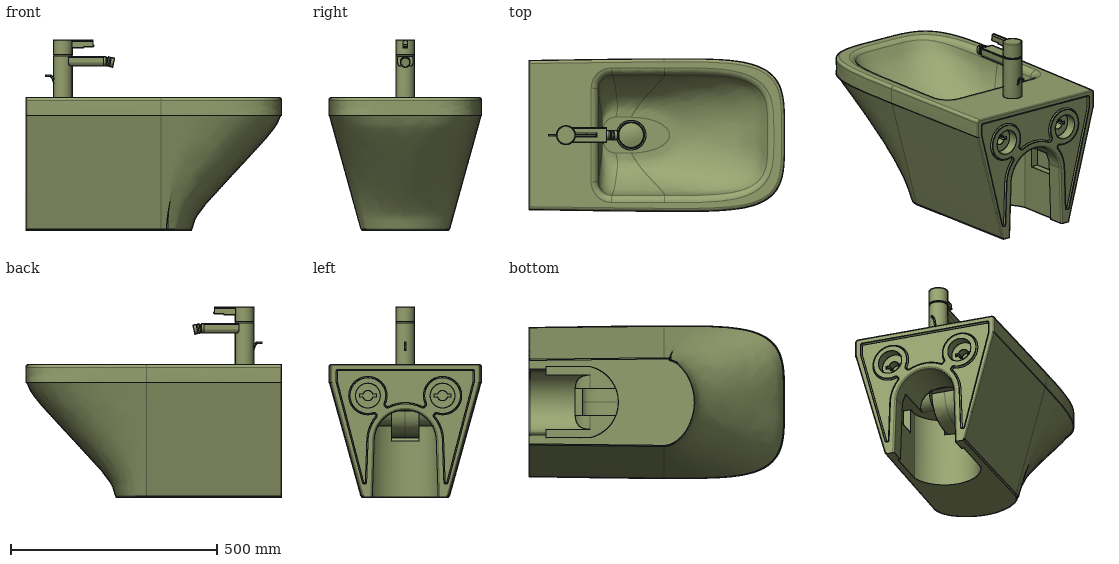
import cadquery as cq
import math

LENGTH = 620
HALF_WIDTH = 185.1
BACK_HALF_WIDTH = 181.0
WIDEST_X = 327.5
DECK_Z = 322.5
BAND_BOTTOM_Z = 278.5
BAND_STEP = 1.0
FOOT_HALF_WIDTH = 106.5
OUTER_SQUARENESS = 4.2
NOSE_STEPS = 16
RIM_ROUND = 7.5
BACK_ROUND = 2.5
TRIM = 31
FOOT_INSET = 2.0
SKIRT_NOSE = [
    (4.0, 403, 1.9),
    (60.0, 433.0, 2),
    (145.0, 511.0, 2.4),
    (204.5, 565.5, 2.9),
    (257.0, 608, 3.6),
    (BAND_BOTTOM_Z, LENGTH - 2 * BAND_STEP, OUTER_SQUARENESS),
]

BOWL_SECTIONS = [
    (191.0, 180, 248, 341, 43.5, 2, 31),
    (199.5, 177.5, 273, 403, 80.5, 2, 37),
    (227.5, 173.5, 297.5, 482.0, 108.5, 2.3, 37),
    (246.0, 172.0, 310, 516.5, 121.5, 2.6, 37),
    (288.0, 169.0, WIDEST_X, 561.0, 141.5, 3.6, 34.0),
    (DECK_Z, 167.5, WIDEST_X, 584.0, 147.5, 4.2, 34.0),
]
BOWL_LIP_ROUND = 17.5
LIP_MARGIN = 25
LEVEL_TOLERANCE = 0.5

ARCH_FOOT_HALF = 80.0
ARCH_SPRING_HALF = 75.0
ARCH_SPRING_Z = 144.0
ARCH_CROWN_Z = 212.0
ARCH_MOUTH_ROUND = 4.0
ARCH_DEPTH = 111.5
BULGE_RADIUS = 37
FLANGE_THICKNESS = 41.5
CHAMBER_WIDENING = 11.0
CHAMBER_ROOF_Z = 173.5
CHAMBER_STRAIGHT_X = 149
CHAMBER_END_X = 217
SHELF_Z = 111.5
SHELF_HALF_WIDTH = 105.5
SHELF_END_X = 124
NICHE_HALF_WIDTH = 33.0
NICHE_FLOOR_Z = 136.5
NICHE_END_X = 285
NICHE_ROUND = 6
NICHE_TOP_Z = 209.5
NICHE_BACK_X = 130
SUMP_BOTTOM_Z = 146.0

PANEL_DEPTH = 5.0
PANEL_DRAFT = 3.0
PANEL_TOP_Z = 310.5
PANEL_HALF_WIDTH = 167.5
PANEL_SHOULDER_Z = 279.5
PANEL_FOOT_Z = 32.0
PANEL_FOOT_HALF = 103.0
PANEL_CORNER = 5.0
ARCH_LAND = 15.0
BRIDGE_WIDTH = 28.0
BRIDGE_PLACE = 0.65

FIXING_Y = 90.5
FIXING_Z = 247.0
FIXING_BOSS_DIAMETER = 87
FIXING_BORE_DIAMETER = 60.0
FIXING_BORE_DEPTH = 26.0
KEYHOLE_DIAMETER = 25
KEYHOLE_DEPTH = 49.5
KEY_SPAN = 41.0
KEY_HEIGHT = 7.0

DRAIN_X = 248
DRAIN_RING_DIAMETER = 72.0
DRAIN_RING_BOTTOM_Z = 185.0
DRAIN_RING_TOP_Z = 193.0
DRAIN_MOUTH_DIAMETER = 64.5
DRAIN_SEAT_Z = 188.0
DRAIN_THROAT_DIAMETER = 42.0
PLUG_DIAMETER = 60.0
PLUG_EDGE_HEIGHT = 4.5
PLUG_DOME_HEIGHT = 5.5

TAP_X = 90.0
TAP_TOP_Z = 462.0
TAP_DIAMETER = 46.0
TAP_NECK_DIAMETER = 44.0
TAP_NECK_BOTTOM_Z = 423.0
TAP_NECK_HEIGHT = 3.0
HEAD_ROUND = 2.0
LEVER_DROP = 0.5
LEVER_WIDTH = 10.0
LEVER_END_X = 163.0
LEVER_ROOT_HEIGHT = 19.0
LEVER_STEP_X = 140.0
LEVER_THIN_HEIGHT = 17.0
LEVER_TIP_RISE = 2.5
LEVER_TIP_REACH = 2.5
LEVER_EDGE = 3.0
SPOUT_HALF_WIDTH = 18.3
SPOUT_TOP_Z = 421.5
SPOUT_BOTTOM_Z = 398.0
SPOUT_END_X = 188.5
SPOUT_LOWER_ROUND = 7.5
SPOUT_UPPER_CHAMFER = 2.0
SPOUT_AXIS_Z = (SPOUT_TOP_Z + SPOUT_BOTTOM_Z) / 2

COLLAR_DIAMETER = 23.0
COLLAR_LENGTH = 5.5
JOINT_DIAMETER = 20.0
JOINT_LENGTH = 4.0
NOZZLE_X = SPOUT_END_X + COLLAR_LENGTH + JOINT_LENGTH
NOZZLE_TILT = 12
NOZZLE_LENGTH = 15.5
NOZZLE_DIAMETER = 23.0
NOZZLE_GROOVE_DIAMETER = 21.0
NOZZLE_GROOVE_OFFSET = 4.5
NOZZLE_GROOVE_WIDTH = 3.0

ROD_DIAMETER = 4.0
ROD_TIP_X = 48.0
ROD_Z = 375.0
ROD_BEND_START_X = 56
ROD_END_X = 70.0
ROD_END_Z = 357.0
ROD_END_DIRECTION = (1, -1.6)


def plan_outline(z, back, middle, front, half_back, half_middle, squareness, corner=0):
    """Closed level wire: straight back, slightly bowed sides and a superellipse front end."""
    nose = []
    for i in range(NOSE_STEPS + 1):
        angle = math.pi / 2 - math.pi * i / NOSE_STEPS
        along = abs(math.cos(angle)) ** (2 / squareness)
        across = math.copysign(abs(math.sin(angle)) ** (2 / squareness), math.sin(angle))
        nose.append(cq.Vector(middle + (front - middle) * along, half_middle * across, z))
    nose[0] = cq.Vector(middle, half_middle, z)
    nose[-1] = cq.Vector(middle, -half_middle, z)

    forward = cq.Vector(1, 0, 0)
    edges = [cq.Edge.makeSpline(nose, tangents=[forward, -forward])]
    side_start = back + corner
    right_start = cq.Vector(side_start, -half_back, z)
    left_start = cq.Vector(side_start, half_back, z)
    slope = cq.Vector(middle - side_start, half_middle - half_back, 0).normalized()
    mirrored_slope = cq.Vector(-slope.x, slope.y, 0)
    edges.append(cq.Edge.makeSpline([nose[-1], right_start], tangents=[-forward, mirrored_slope]))
    back_half = half_back - corner
    back_right = cq.Vector(back, -back_half, z)
    back_left = cq.Vector(back, back_half, z)
    reach = corner * (1 - math.sqrt(0.5))
    if corner:
        right_mid = cq.Vector(back + reach, reach - half_back, z)
        edges.append(cq.Edge.makeThreePointArc(right_start, right_mid, back_right))
    edges.append(cq.Edge.makeLine(back_right, back_left))
    if corner:
        left_mid = cq.Vector(back + reach, half_back - reach, z)
        edges.append(cq.Edge.makeThreePointArc(back_left, left_mid, left_start))
    edges.append(cq.Edge.makeSpline([left_start, nose[0]], tangents=[slope, forward]))
    return cq.Wire.assembleEdges(edges)


def box_between(x0, x1, y0, y1, z0, z1):
    """Axis-aligned box from its limits."""
    return cq.Workplane("XY").box(x1 - x0, y1 - y0, z1 - z0, centered=False).translate((x0, y0, z0))


def cylinder_along_x(diameter, x0, x1, y, z):
    """Round bar parallel to X."""
    return cq.Workplane("YZ", origin=(x0, y, z)).circle(diameter / 2).extrude(x1 - x0)


def upright_cylinder(diameter, x, z0, z1):
    """Round bar parallel to Z on the middle plane."""
    return cq.Workplane("XY", origin=(x, 0, z0)).circle(diameter / 2).extrude(z1 - z0)


def arch(x0, x1, border=0):
    """Arched passage parallel to X, grown on every side by a border."""
    foot = ARCH_FOOT_HALF + border
    spring = ARCH_SPRING_HALF + border
    return (
        cq.Workplane("YZ", origin=(x0, 0, 0))
        .moveTo(-foot, 0)
        .lineTo(-spring, ARCH_SPRING_Z)
        .threePointArc((0, ARCH_CROWN_Z + border), (spring, ARCH_SPRING_Z))
        .lineTo(foot, 0)
        .close()
        .extrude(x1 - x0)
    )


def outer_shape():
    """Tapered skirt with a bevelled foot, under an upright rim band."""
    flare = (HALF_WIDTH - BAND_STEP - FOOT_HALF_WIDTH) / BAND_BOTTOM_Z

    def skirt_section(z, front, squareness, inset=0):
        half = FOOT_HALF_WIDTH + flare * z - inset
        back_half = half - (HALF_WIDTH - BACK_HALF_WIDTH)
        return plan_outline(z, -TRIM, WIDEST_X, front - inset, back_half, half, squareness)

    skirt = cq.Workplane(cq.Solid.makeLoft([skirt_section(*row) for row in SKIRT_NOSE]))
    foot_z, foot_front, foot_squareness = SKIRT_NOSE[0]
    foot_sections = [
        skirt_section(0, foot_front, foot_squareness, FOOT_INSET),
        skirt_section(foot_z, foot_front, foot_squareness),
    ]
    foot = cq.Workplane(cq.Solid.makeLoft(foot_sections, True))
    behind_back = box_between(-2 * TRIM, 0, -LENGTH, LENGTH, -TRIM, LENGTH)
    skirt = skirt.cut(behind_back)
    foot = foot.cut(behind_back)
    skirt = skirt.faces("<X").edges("not #Z").fillet(BACK_ROUND)

    band_outline = plan_outline(
        BAND_BOTTOM_Z, 0, WIDEST_X, LENGTH, BACK_HALF_WIDTH, HALF_WIDTH, OUTER_SQUARENESS
    )
    up = cq.Vector(0, 0, DECK_Z - BAND_BOTTOM_Z)
    band = cq.Workplane(cq.Solid.extrudeLinear(band_outline, [], up))
    band = band.faces(">Z").edges("not(<X)").fillet(RIM_ROUND)
    band = band.faces("<X").edges("not <Z").fillet(BACK_ROUND)
    return skirt.union(foot).union(band)


def bowl():
    """Basin hollow, open at the deck."""
    sections = [
        plan_outline(z, back, middle, front, half, half, squareness, corner)
        for z, back, middle, front, half, squareness, corner in BOWL_SECTIONS
    ]
    return cq.Workplane(cq.Solid.makeLoft(sections))


def underside():
    """Arched passage from the back, with the chamber and drain niche behind it."""
    chamber_half = ARCH_SPRING_HALF + CHAMBER_WIDENING
    chamber = (
        cq.Workplane("XY")
        .moveTo(FLANGE_THICKNESS, -chamber_half)
        .lineTo(CHAMBER_STRAIGHT_X, -chamber_half)
        .threePointArc((CHAMBER_END_X, 0), (CHAMBER_STRAIGHT_X, chamber_half))
        .lineTo(FLANGE_THICKNESS, chamber_half)
        .close()
        .extrude(CHAMBER_ROOF_Z)
    )
    shelf = box_between(
        FLANGE_THICKNESS, SHELF_END_X, -SHELF_HALF_WIDTH, SHELF_HALF_WIDTH, SHELF_Z, CHAMBER_ROOF_Z
    )
    under_bowl = (
        cq.Workplane("XZ")
        .lineTo(0, DECK_Z)
        .lineTo(ARCH_DEPTH, DECK_Z)
        .lineTo(ARCH_DEPTH, CHAMBER_ROOF_Z + BULGE_RADIUS)
        .radiusArc((ARCH_DEPTH + BULGE_RADIUS, CHAMBER_ROOF_Z), -BULGE_RADIUS)
        .lineTo(ARCH_DEPTH + BULGE_RADIUS, 0)
        .close()
        .extrude(LENGTH, both=True)
    )
    passage = arch(0, ARCH_DEPTH + BULGE_RADIUS).intersect(under_bowl)
    niche = box_between(
        ARCH_DEPTH, NICHE_END_X, -NICHE_HALF_WIDTH, NICHE_HALF_WIDTH, NICHE_FLOOR_Z, NICHE_TOP_Z
    )
    niche = niche.edges(">X and <Z").fillet(NICHE_ROUND)
    sump = (
        cq.Workplane("XZ")
        .moveTo(NICHE_BACK_X, DECK_Z)
        .lineTo(NICHE_BACK_X, NICHE_TOP_Z)
        .spline(
            [(NICHE_END_X, SUMP_BOTTOM_Z)],
            tangents=[(0, -1), (1, 0)],
            includeCurrent=True,
        )
        .lineTo(NICHE_END_X, DECK_Z)
        .close()
        .extrude(NICHE_HALF_WIDTH, both=True)
    )
    return passage.union(chamber).union(shelf).union(niche).cut(sump)


def back_panel():
    """Shallow recess in the back face, leaving borders around the arch and the fixing bores."""
    half_outline = [
        (PANEL_HALF_WIDTH, PANEL_TOP_Z),
        (PANEL_HALF_WIDTH, PANEL_SHOULDER_Z),
        (PANEL_FOOT_HALF, PANEL_FOOT_Z),
    ]
    mirrored = [(-y, z) for y, z in reversed(half_outline)]
    panel = cq.Workplane("YZ").polyline(half_outline + mirrored).close().extrude(PANEL_DEPTH)
    panel = panel.cut(arch(0, PANEL_DEPTH, ARCH_LAND))
    rise = FIXING_Z - ARCH_SPRING_Z
    for y in (-FIXING_Y, FIXING_Y):
        bridge_angle = math.degrees(math.atan2(rise, y))
        bridge = cq.Workplane("YZ").rect(FIXING_Y, BRIDGE_WIDTH).extrude(PANEL_DEPTH)
        bridge = bridge.rotate((0, 0, 0), (1, 0, 0), bridge_angle)
        bridge = bridge.translate((0, y * BRIDGE_PLACE, ARCH_SPRING_Z + rise * BRIDGE_PLACE))
        panel = panel.cut(bridge)
        panel = panel.cut(cylinder_along_x(FIXING_BOSS_DIAMETER, 0, PANEL_DEPTH, y, FIXING_Z))
    panel = panel.edges("|X").fillet(PANEL_CORNER)
    return panel.faces(">X").chamfer(PANEL_DRAFT)


def fixing_bore(y):
    """Wall-fixing bore with a keyhole in its floor."""
    bore = cylinder_along_x(FIXING_BORE_DIAMETER, 0, FIXING_BORE_DEPTH, y, FIXING_Z)
    keyhole = cylinder_along_x(KEYHOLE_DIAMETER, 0, KEYHOLE_DEPTH, y, FIXING_Z)
    key = cq.Workplane("YZ", origin=(0, y, FIXING_Z)).rect(KEY_SPAN, KEY_HEIGHT).extrude(KEYHOLE_DEPTH)
    return bore.union(keyhole).union(key)


def make_ceramic():
    """Ceramic body with its bowl, underside, back recesses and drain hole."""
    body = outer_shape().cut(bowl())
    lip_half = HALF_WIDTH - LIP_MARGIN
    lip = cq.selectors.BoxSelector(
        (TAP_X, -lip_half, DECK_Z - LEVEL_TOLERANCE),
        (LENGTH - LIP_MARGIN, lip_half, DECK_Z + LEVEL_TOLERANCE),
    )
    body = body.faces(">Z").edges(lip).fillet(BOWL_LIP_ROUND)
    body = body.cut(underside())
    arch_zone = cq.selectors.BoxSelector(
        (-6, -ARCH_FOOT_HALF - 6, 6), (6, ARCH_FOOT_HALF + 6, ARCH_CROWN_Z + 6)
    )
    body = body.faces("<X").edges(arch_zone).fillet(ARCH_MOUTH_ROUND)
    body = body.cut(back_panel())
    for y in (-FIXING_Y, FIXING_Y):
        body = body.cut(fixing_bore(y))
    throat = upright_cylinder(DRAIN_THROAT_DIAMETER, DRAIN_X, NICHE_FLOOR_Z, DRAIN_RING_TOP_Z)
    ring_seat = upright_cylinder(DRAIN_RING_DIAMETER, DRAIN_X, DRAIN_RING_BOTTOM_Z, DRAIN_RING_TOP_Z)
    return body.cut(throat).cut(ring_seat)


def make_drain_ring():
    """Flanged waste ring with a seat for the plug."""
    ring = upright_cylinder(DRAIN_RING_DIAMETER, DRAIN_X, DRAIN_RING_BOTTOM_Z, DRAIN_RING_TOP_Z)
    mouth = upright_cylinder(DRAIN_MOUTH_DIAMETER, DRAIN_X, DRAIN_SEAT_Z, DRAIN_RING_TOP_Z)
    throat = upright_cylinder(DRAIN_THROAT_DIAMETER, DRAIN_X, DRAIN_RING_BOTTOM_Z, DRAIN_SEAT_Z)
    return ring.cut(mouth).cut(throat)


def make_drain_plug():
    """Round plug with a domed top, resting on the seat of the ring."""
    radius = PLUG_DIAMETER / 2
    dome_half_angle = math.atan(PLUG_DOME_HEIGHT / radius)
    dome_radius = radius / math.sin(2 * dome_half_angle)
    dome_mid = (
        dome_radius * math.sin(dome_half_angle),
        PLUG_EDGE_HEIGHT + PLUG_DOME_HEIGHT - dome_radius * (1 - math.cos(dome_half_angle)),
    )
    return (
        cq.Workplane("XZ", origin=(DRAIN_X, 0, DRAIN_SEAT_Z))
        .lineTo(radius, 0)
        .lineTo(radius, PLUG_EDGE_HEIGHT)
        .threePointArc(dome_mid, (0, PLUG_EDGE_HEIGHT + PLUG_DOME_HEIGHT))
        .close()
        .revolve()
    )


def make_rod():
    """Pop-up rod: a level finger grip curving down into the tap body."""
    path = (
        cq.Workplane("XZ")
        .moveTo(ROD_TIP_X, ROD_Z)
        .lineTo(ROD_BEND_START_X, ROD_Z)
        .spline(
            [(ROD_END_X, ROD_END_Z)],
            tangents=[(1, 0), ROD_END_DIRECTION],
            includeCurrent=True,
        )
    )
    return cq.Workplane("YZ", origin=(ROD_TIP_X, 0, ROD_Z)).circle(ROD_DIAMETER / 2).sweep(path)


def make_tap_body(rod):
    """Column with a flat-sided spout, a neck on top and a hole for the rod."""
    column = upright_cylinder(TAP_DIAMETER, TAP_X, DECK_Z, TAP_NECK_BOTTOM_Z)
    neck = upright_cylinder(
        TAP_NECK_DIAMETER, TAP_X, TAP_NECK_BOTTOM_Z, TAP_NECK_BOTTOM_Z + TAP_NECK_HEIGHT
    )
    spout = box_between(
        TAP_X, SPOUT_END_X, -SPOUT_HALF_WIDTH, SPOUT_HALF_WIDTH, SPOUT_BOTTOM_Z, SPOUT_TOP_Z
    )
    spout = spout.edges("|X and <Z").fillet(SPOUT_LOWER_ROUND)
    spout = spout.edges("|X and >Z").chamfer(SPOUT_UPPER_CHAMFER)
    return column.union(neck).union(spout).cut(rod)


def make_tap_head():
    """Rotating cap with its thin lever."""
    cap = upright_cylinder(
        TAP_DIAMETER, TAP_X, TAP_NECK_BOTTOM_Z + TAP_NECK_HEIGHT, TAP_TOP_Z
    )
    cap = cap.faces(">Z").edges().fillet(HEAD_ROUND)
    top = TAP_TOP_Z - LEVER_DROP
    thin_z = TAP_TOP_Z - LEVER_THIN_HEIGHT
    root_z = TAP_TOP_Z - LEVER_ROOT_HEIGHT
    lever = (
        cq.Workplane("XZ")
        .moveTo(TAP_X, top)
        .lineTo(LEVER_END_X, top)
        .lineTo(LEVER_END_X, thin_z + 2 * LEVER_TIP_RISE)
        .lineTo(LEVER_END_X + LEVER_TIP_REACH, thin_z + LEVER_TIP_RISE)
        .lineTo(LEVER_END_X, thin_z)
        .lineTo(LEVER_STEP_X, thin_z)
        .lineTo(LEVER_STEP_X, root_z)
        .lineTo(TAP_X, root_z)
        .close()
        .extrude(LEVER_WIDTH / 2, both=True)
    )
    lever = lever.edges("|X and >Z").chamfer(LEVER_EDGE)
    return cap.union(lever)


def spout_bar(diameter, start, length):
    """Round bar on the spout axis, starting at a distance beyond the spout end."""
    x = SPOUT_END_X + start
    return cylinder_along_x(diameter, x, x + length, 0, SPOUT_AXIS_Z)


def nozzle_bar(diameter, start, length):
    """Round bar on the tilted nozzle axis, starting at a distance beyond the nozzle's base."""
    bar = cylinder_along_x(diameter, start, start + length, 0, 0)
    return bar.rotate((0, 0, 0), (0, 1, 0), NOZZLE_TILT).translate((NOZZLE_X, 0, SPOUT_AXIS_Z))


def make_nozzle():
    """Tilted aerator nozzle with a groove around it."""
    groove = nozzle_bar(NOZZLE_DIAMETER, NOZZLE_GROOVE_OFFSET, NOZZLE_GROOVE_WIDTH).cut(
        nozzle_bar(NOZZLE_GROOVE_DIAMETER, NOZZLE_GROOVE_OFFSET, NOZZLE_GROOVE_WIDTH)
    )
    return nozzle_bar(NOZZLE_DIAMETER, 0, NOZZLE_LENGTH).cut(groove)


def make_collar(nozzle):
    """Collar on the spout end with a narrower joint that meets the nozzle."""
    collar = spout_bar(COLLAR_DIAMETER, 0, COLLAR_LENGTH)
    joint = spout_bar(JOINT_DIAMETER, COLLAR_LENGTH, JOINT_LENGTH)
    return collar.union(joint).cut(nozzle)


ceramic = make_ceramic()
drain_ring = make_drain_ring()
drain_plug = make_drain_plug()
rod = make_rod()
tap_body = make_tap_body(rod)
tap_head = make_tap_head()
nozzle = make_nozzle()
collar = make_collar(nozzle)

bodies = [ceramic, drain_ring, drain_plug, rod, tap_body, tap_head, collar, nozzle]
result = cq.Compound.makeCompound([body.val() for body in bodies])